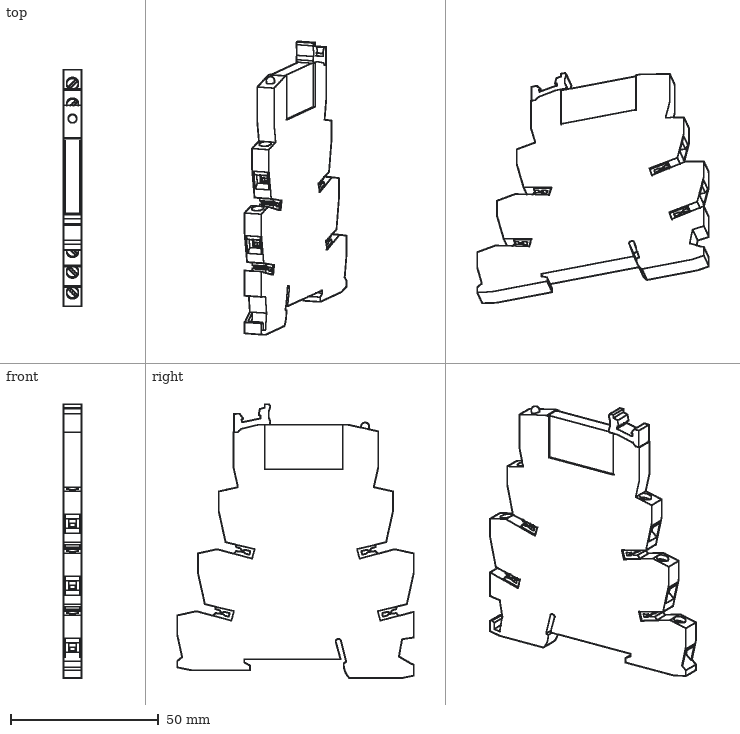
import cadquery as cq
import math

WIDTH = 6.1
WALL = 0.55
INNER_WIDTH = WIDTH - 2 * WALL
AXIS_Y = 3.5
LEFT_LIMIT = 40.0

FACET_TILT = 12.5
SLOT_TILT = 15.0
FACET_TAN = math.tan(math.radians(FACET_TILT))

TIER_COUNT = 3
TIER_PITCH = 20.95
TIER_STEP = 7.0
BASE_HALF = 43.5
BASE_PEAK_Z = 22.65
FACET_RUN = 6.5
SIDE_HEIGHT = 6.65
TIER_BOTTOM = 2.3

SLOT_WIDTH = 3.35
SLOT_BACK = 19.2

HEAD_HALF = 24.5
HEAD_TOP_Z = 85.7
HEAD_SHOULDER_Z = 83.4
HEAD_WAIST_Z = 71.2

ENTRY_TOP_DROP = 1.15
ENTRY_HEIGHT = 6.3
ENTRY_DEPTH = 2.0
ENTRY_LIP_DROP = 1.4
ENTRY_LIP_RUN = 0.9
ENTRY_FLOOR_RISE = 1.67
CLAMP_WIDTH = 2.6
CLAMP_MARGIN = 0.2
CLAMP_DEPTH = 1.0
WIRE_HOLE_WIDTH = 1.9
WIRE_HOLE_HEIGHT = 1.3
WIRE_HOLE_LIFT = 0.2
WIRE_HOLE_DEPTH = 2.0
SCREW_RADIUS = 2.0
SCREW_INSET = 4.55
SCREW_DEPTH = 1.6
DRIVER_SLOT_WIDTH = 0.8
DRIVER_SLOT_DEPTH = 0.5
DRIVER_SLOT_ANGLE = 45.0

WINDOW_Y = (-10.4, 16.0)
WINDOW_BOTTOM_Z = 70.5
RELAY_END_Y = 16.65
RELAY_GAP = 0.3
RELAY_GAP_DEPTH = 1.0

LAMP_Y = 23.4
LAMP_RADIUS = 1.4
LAMP_COLLAR = 0.6

FOOT_WEB = 1.0


def tier_half(tier):
    return BASE_HALF - TIER_STEP * tier


def tier_peak(tier):
    return BASE_PEAK_Z + TIER_PITCH * tier


def tier_corner(tier):
    return tier_peak(tier) - FACET_RUN * FACET_TAN


def place(side, points):
    """Turn (distance from the tower axis, Z) points into (Y, Z) points on one side."""
    return [(AXIS_Y + side * reach, z) for reach, z in points]


def prism(points, width):
    """Extrude a (Y, Z) outline symmetrically about X = 0."""
    return cq.Workplane("YZ").polyline(points).close().extrude(width / 2, both=True)


def slot_point(tier, along, down):
    """Point in the frame of a bridge slot: outward along it and down across it."""
    tilt = math.radians(SLOT_TILT)
    reach = tier_half(tier) - SLOT_BACK + along * math.cos(tilt) + down * math.sin(tilt)
    z = tier_peak(tier) + along * math.sin(tilt) - down * math.cos(tilt)
    return reach, z


def tier_outline(tier):
    """One side of a tier, from its underside corner up to its facet peak."""
    half = tier_half(tier)
    side_bottom = tier_corner(tier) - SIDE_HEIGHT
    outline = []
    if tier > 0:
        underside = tier_peak(tier - 1) + TIER_BOTTOM
        outline.append((half - (side_bottom - underside) * FACET_TAN, underside))
    outline += [(half, side_bottom), (half, tier_corner(tier)), (half - FACET_RUN, tier_peak(tier))]
    return outline


def tower_side(first_tier):
    """One side of the tower, from a tier up to the shoulder of the head."""
    outline = []
    for tier in range(first_tier, TIER_COUNT):
        outline += tier_outline(tier)
        if tier < TIER_COUNT - 1:
            outline += [slot_point(tier, 0, SLOT_WIDTH), slot_point(tier, 0, 0)]
    outline += [(HEAD_HALF, HEAD_WAIST_Z)]
    return outline


RAIL_SEAT_Z = 6.3
RAIL_SEAT_END = (15.3, RAIL_SEAT_Z)

LEVER_SEAT = [(-12.2, HEAD_TOP_Z), (-18.3, 84.25), (-19.5, 83.15)]
LEVER_BACK_Y = -20.8
HEAD_CORNER = (AXIS_Y - HEAD_HALF, LEVER_SEAT[-1][1])


def housing_outline():
    """Outline from the rail seat, round the -Y side, head and +Y side, to the spring foot."""
    head_bend = AXIS_Y + HEAD_HALF - (HEAD_TOP_Z - HEAD_SHOULDER_Z) / FACET_TAN
    limit_reach = LEFT_LIMIT - AXIS_Y
    limit_along = (limit_reach - slot_point(0, 0, SLOT_WIDTH)[0]) / math.cos(math.radians(SLOT_TILT))
    lug_start = entry_rim(0)[1]
    lug_top = lug_start[1] - (BASE_HALF - lug_start[0]) * ENTRY_FLOOR_RISE / ENTRY_DEPTH
    outline = [RAIL_SEAT_END, (-17.3, RAIL_SEAT_Z), (-17.3, 5.3), (-15.3, 4.25), (-15.3, 2.6),
               (-35.0, 2.6), (AXIS_Y - BASE_HALF, 3.6)]
    outline += place(-1, [(BASE_HALF, lug_top), lug_start] + tower_side(0))
    outline += [HEAD_CORNER] + LEVER_SEAT[::-1]
    outline += [(head_bend, HEAD_TOP_Z), (AXIS_Y + HEAD_HALF, HEAD_SHOULDER_Z)]
    outline += place(1, tower_side(1)[::-1])
    outline += place(1, [slot_point(0, 0, 0), slot_point(0, 0, SLOT_WIDTH),
                         slot_point(0, limit_along, SLOT_WIDTH)])
    outline += [(LEFT_LIMIT, 13.7), (36.05, 13.1), (35.0, 7.3), (39.1, 4.9), (LEFT_LIMIT, 4.6),
                (LEFT_LIMIT, 0.8), (36.05, 0), (18.2, 0)]
    return outline


def housing_body():
    """Plain housing; its outline ends with the round toe and the spring slit of the foot."""
    body = (cq.Workplane("YZ").polyline(housing_outline())
            .threePointArc((16.85, 1.9), (16.3, 4.0))
            .lineTo(16.3, 5.1).lineTo(17.1, 5.5).lineTo(15.4, 12.3)
            .threePointArc((14.35, 13.2), (13.6, 12.4)).close())
    return body.extrude(WIDTH / 2, both=True)


def bridge_contact(tier, side):
    """Pair of contact jaws standing in a bridge slot, narrower than the housing."""
    jaws = [(0, 0), (6.7, 0), (6.2, 1.0), (4.65, 1.05), (4.35, 1.5), (3.65, 1.55), (3.1, 1.1),
            (1.25, 1.1), (1.25, 2.25), (2.6, 2.25), (3.35, 1.9), (5.45, 2.2), (5.8, 2.1),
            (6.4, SLOT_WIDTH), (0, SLOT_WIDTH)]
    return prism(place(side, [slot_point(tier, along, down) for along, down in jaws]), INNER_WIDTH)


def entry_rim(tier):
    """Upper and lower rim points of a wire entry on the sloping face of a tier."""
    top = tier_corner(tier) - SIDE_HEIGHT - ENTRY_TOP_DROP
    bottom = top - ENTRY_HEIGHT
    top_reach = tier_half(tier) - ENTRY_TOP_DROP * FACET_TAN
    return (top_reach, top), (top_reach - ENTRY_HEIGHT * FACET_TAN, bottom)


def wire_entry(tier, side):
    """Funnel with a clamp opening and a wire hole in the sloping face of a tier."""
    (top_reach, rim_top), (bottom_reach, rim_bottom) = entry_rim(tier)
    ceiling = rim_top - ENTRY_LIP_DROP
    floor = rim_bottom + ENTRY_FLOOR_RISE

    def behind_face(depth, z):
        """Point on a plane parallel to the sloping face, passing at a depth behind the rim."""
        return bottom_reach - depth + (z - floor) * FACET_TAN, z

    def opening(front, back, low, high):
        return [behind_face(front, high), behind_face(back, high),
                behind_face(back, low), behind_face(front, low)]

    funnel = [(top_reach, rim_top), (top_reach - ENTRY_LIP_RUN, ceiling),
              behind_face(ENTRY_DEPTH, ceiling), behind_face(ENTRY_DEPTH, floor),
              (bottom_reach, rim_bottom)]
    clamp_bottom = floor + CLAMP_MARGIN
    clamp_back = ENTRY_DEPTH + CLAMP_DEPTH
    clamp = opening(ENTRY_DEPTH, clamp_back, clamp_bottom, ceiling - CLAMP_MARGIN)
    hole_bottom = clamp_bottom + WIRE_HOLE_LIFT
    hole = opening(clamp_back, clamp_back + WIRE_HOLE_DEPTH, hole_bottom, hole_bottom + WIRE_HOLE_HEIGHT)
    cutter = prism(place(side, funnel), INNER_WIDTH)
    cutter = cutter.union(prism(place(side, clamp), CLAMP_WIDTH))
    return cutter.union(prism(place(side, hole), WIRE_HOLE_WIDTH))


def facet_plane(y, z, side):
    """Plane on a top facet, its normal leaning towards the given side."""
    tilt = math.radians(FACET_TILT)
    normal = (0, side * math.sin(tilt), math.cos(tilt))
    return cq.Plane(origin=(0, y, z), xDir=(1, 0, 0), normal=normal)


def screw_recess(tier, side):
    """Round hole in a facet, with a slotted screw head at its bottom."""
    y = AXIS_Y + side * (tier_half(tier) - SCREW_INSET)
    z = tier_corner(tier) + SCREW_INSET * FACET_TAN
    plane = facet_plane(y, z, side)
    bore = cq.Workplane(plane).circle(SCREW_RADIUS).extrude(-SCREW_DEPTH)
    slot = (cq.Workplane(plane).workplane(offset=-SCREW_DEPTH)
            .transformed(rotate=(0, 0, side * DRIVER_SLOT_ANGLE))
            .rect(2 * SCREW_RADIUS, DRIVER_SLOT_WIDTH).extrude(-DRIVER_SLOT_DEPTH))
    head = cq.Workplane(plane).circle(SCREW_RADIUS).extrude(-SCREW_DEPTH - DRIVER_SLOT_DEPTH)
    return bore.union(slot.intersect(head))


def relay_window():
    """Shallow rectangular recess in both side faces, open at the top."""
    near, far = WINDOW_Y
    outline = [(near, WINDOW_BOTTOM_Z), (far, WINDOW_BOTTOM_Z), (far, HEAD_TOP_Z), (near, HEAD_TOP_Z)]
    return prism(outline, WIDTH).cut(prism(outline, INNER_WIDTH))


def relay_gap():
    """Narrow groove across the head at the +Y end of the relay."""
    bottom = HEAD_TOP_Z - RELAY_GAP_DEPTH
    end = RELAY_END_Y + RELAY_GAP
    outline = [(RELAY_END_Y, bottom), (end, bottom), (end, HEAD_TOP_Z), (RELAY_END_Y, HEAD_TOP_Z)]
    return prism(outline, INNER_WIDTH)


def status_lamp():
    """Short round collar with a domed tip, square to the sloping top of the head."""
    z = HEAD_SHOULDER_Z + (AXIS_Y + HEAD_HALF - LAMP_Y) * FACET_TAN
    tip = LAMP_COLLAR + LAMP_RADIUS
    dome_side = LAMP_RADIUS * math.sqrt(0.5)
    plane = facet_plane(LAMP_Y, z, 1)
    section = cq.Plane(origin=plane.origin, xDir=(1, 0, 0), normal=(0, -plane.zDir.z, plane.zDir.y))
    profile = (cq.Workplane(section).moveTo(0, -LAMP_COLLAR).lineTo(LAMP_RADIUS, -LAMP_COLLAR)
               .lineTo(LAMP_RADIUS, LAMP_COLLAR)
               .threePointArc((dome_side, LAMP_COLLAR + dome_side), (0, tip)).close())
    return profile.revolve(360, (0, 0, 0), (0, 1, 0))


def foot_notch():
    """Notch between the spring foot and its lug, open to -X and closed by a thin web at +X."""
    outline = [(35.0, 7.3), (36.05, 1.6), (38.25, 2.0), (38.25, 4.3), (39.1, 4.9), (39.1, 7.3)]
    return prism(outline, WIDTH).translate((-FOOT_WEB, 0, 0))


def build_housing():
    body = housing_body()
    terminals = [(tier, -1) for tier in range(TIER_COUNT)]
    terminals += [(tier, 1) for tier in range(1, TIER_COUNT)]
    for tier, side in terminals:
        body = body.cut(wire_entry(tier, side)).cut(screw_recess(tier, side))
    for tier in range(TIER_COUNT - 1):
        for side in (-1, 1):
            body = body.union(bridge_contact(tier, side))
    body = body.cut(relay_window()).cut(relay_gap()).cut(foot_notch())
    return body.union(status_lamp())


def build_lever():
    """Retaining lever that hooks over the relay and rests on the sloping head."""
    outline = [(-8.7, HEAD_TOP_Z), (-8.45, 86.6), (-9.0, 88.0), (-9.0, 90.0), (-8.45, 91.75), (-8.95, 92.6),
               (-10.4, 92.6), (-10.4, 91.45), (-12.1, 90.95), (-12.5, 88.8), (-11.9, 88.7), (-11.8, 87.8),
               (-18.0, 86.5), (-18.2, 87.4), (-17.6, 87.65), (-18.9, 89.4),
               (LEVER_BACK_Y, 89.3), (LEVER_BACK_Y, LEVER_SEAT[-1][1])]
    return prism(outline + LEVER_SEAT[::-1], WIDTH)


housing = build_housing()
lever = build_lever()
result = cq.Compound.makeCompound([housing.val(), lever.val()])